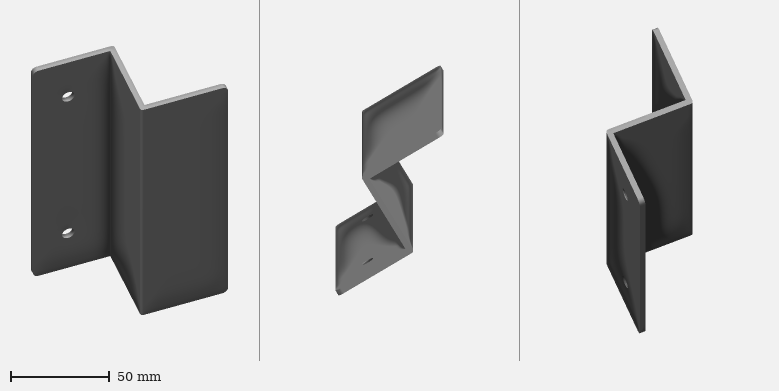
import cadquery as cq

width = 47.1
depth = 88.8
height = 152.4
thickness = 3.0

rear_flange_depth = 47.1
outer_bend_radius = 1.4
inner_bend_radius = 0.3
corner_radius = 3.0

hole_diameter = 6.7
hole_edge_distance = 19.0
hole_end_distance = 25.5

web_front = depth - rear_flange_depth
web_back = web_front + thickness


def plate(x, y, size_x, size_y):
    """Full-height plate with its lower front left corner at (x, y, 0)."""
    return cq.Workplane("XY").box(size_x, size_y, height, centered=False).translate((x, y, 0))


def round_bend(body, x, y, radius):
    """Round the vertical bend edge at (x, y)."""
    edge = cq.selectors.NearestToPointSelector((x, y, height / 2))
    return body.edges("|Z").edges(edge).fillet(radius)


front_flange = plate(0, 0, thickness, web_back)
web = plate(0, web_front, width, thickness)
rear_flange = plate(width - thickness, web_front, thickness, rear_flange_depth)
bracket = front_flange.union(web).union(rear_flange).clean()

bracket = bracket.faces("<Y or >Y").edges("|X").fillet(corner_radius)

bracket = round_bend(bracket, 0, web_back, outer_bend_radius)
bracket = round_bend(bracket, width, web_front, outer_bend_radius)
bracket = round_bend(bracket, thickness, web_front, inner_bend_radius)
bracket = round_bend(bracket, width - thickness, web_back, inner_bend_radius)

hole_centers = [(hole_edge_distance, z) for z in (hole_end_distance, height - hole_end_distance)]
holes = (
    cq.Workplane("YZ")
    .pushPoints(hole_centers)
    .circle(hole_diameter / 2)
    .extrude(thickness)
)

result = bracket.cut(holes)